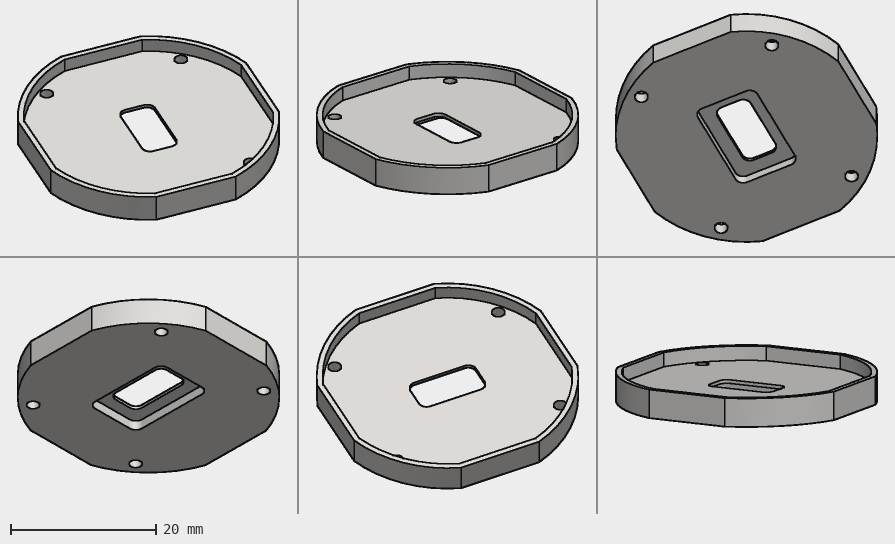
import cadquery as cq

width = 34.0
round_diameter = 36.0
height = 4.0
wall = 0.8
floor = 2.0

window_length = 10.0
window_width = 5.1
window_radius = 1.2
lip = 0.5
relief_margin = 2.0

hole_diameter = 1.8
hole_spacing_x = 24.9
hole_spacing_y = 20.0


def flatted_disc(diameter, across_flats, thickness):
    """Disc with four flats, standing on the XY plane."""
    disc = cq.Workplane("XY").circle(diameter / 2).extrude(thickness)
    square = cq.Workplane("XY").rect(across_flats, across_flats).extrude(thickness)
    return disc.intersect(square)


def rounded_block(length, depth, radius, thickness):
    """Rectangular block with rounded vertical edges, standing on the XY plane."""
    block = cq.Workplane("XY").rect(length, depth).extrude(thickness)
    return block.edges("|Z").fillet(radius)


body = flatted_disc(round_diameter, width, height)
recess = flatted_disc(round_diameter - 2 * wall, width - 2 * wall, height - floor)
tray = body.cut(recess.translate((0, 0, floor)))

window = rounded_block(window_length, window_width, window_radius, floor)
relief = rounded_block(
    window_length + 2 * relief_margin,
    window_width + 2 * relief_margin,
    window_radius,
    floor - lip,
)

screw_holes = (
    cq.Workplane("XY")
    .rect(hole_spacing_x, hole_spacing_y, forConstruction=True)
    .vertices()
    .circle(hole_diameter / 2)
    .extrude(floor)
)

result = tray.cut(window).cut(relief).cut(screw_holes)